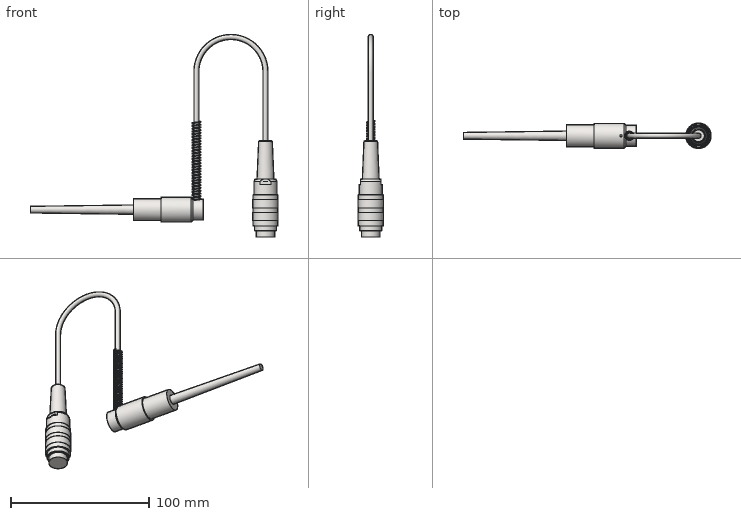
import cadquery as cq
import math


rod_length = 74.7
rod_tip_dia = 5.0
rod_root_dia = 7.0

cuff_dia = 16.0
cuff_length = 20.1
barrel_dia = 18.1
barrel_length = 23.2
barrel_chamfer = 1.5
cap_dia = barrel_dia - 2 * barrel_chamfer
cap_length = 7.4
barrel_start = rod_length + cuff_length
cap_start = barrel_start + barrel_length

vent_dia = 1.5
vent_x = 114.2
vent_depth = 1.8

cord_dia = 3.8
cord_x = 120.3
arc_start_z = 100.0

wire_dia = 0.8
spring_outer_dia = 6.5
spring_pitch = 2.0
spring_turns = 29.25
spring_start_z = 5.7
seat_dia = 6.6
seat_z = spring_start_z - wire_dia / 2

plug_dia = 18.5
overall_length = 179.5
plug_x = overall_length - plug_dia / 2
plug_bottom_z = -20.0
nose_dia = 13.5
collar_z = -15.5
collar_dia = 16.0
collar_chamfer = 0.4
body_z = -11.7
body_top_z = 11.0
body_dia = 18.1
body_edge_chamfer = 0.4

ring_height = 6.0
ring_starts = (-7.9, 1.3)

nut_top_z = 22.0
nut_dia = 16.9
nut_top_dia = 15.3
nut_chamfer_height = 1.8
flat_width = 14.9
flat_height = 4.0
nut_bore_dia = 13.8
nut_bore_depth = 1.8

boot_bottom_z = nut_top_z - nut_bore_depth
boot_bottom_dia = 12.5
boot_top_dia = 10.0
boot_top_z = 50.1
boot_chamfer = 0.8


def cylinder_x(diameter, start, length):
    return cq.Workplane("YZ", origin=(start, 0, 0)).circle(diameter / 2).extrude(length)


def cylinder_z(diameter, x, start, length):
    return cq.Workplane("XY", origin=(x, 0, start)).circle(diameter / 2).extrude(length)


def make_rod():
    return (
        cq.Workplane("YZ")
        .circle(rod_tip_dia / 2)
        .workplane(offset=rod_length)
        .circle(rod_root_dia / 2)
        .loft()
    )


def make_housing():
    cuff = cylinder_x(cuff_dia, rod_length, cuff_length)
    barrel = cylinder_x(barrel_dia, barrel_start, barrel_length).faces(">X").chamfer(barrel_chamfer)
    cap = cylinder_x(cap_dia, cap_start, cap_length)
    spring_seat = cylinder_z(seat_dia, cord_x, seat_z, barrel_dia)
    vent = cylinder_z(vent_dia, vent_x, barrel_dia / 2 - vent_depth, barrel_dia)
    return cuff.union(barrel).union(cap).cut(spring_seat).cut(vent)


def make_cord():
    arc_radius = (plug_x - cord_x) / 2
    path = (
        cq.Workplane("XZ")
        .moveTo(cord_x, seat_z)
        .lineTo(cord_x, arc_start_z)
        .threePointArc((cord_x + arc_radius, arc_start_z + arc_radius), (plug_x, arc_start_z))
        .lineTo(plug_x, boot_top_z)
    )
    return cq.Workplane("XY", origin=(cord_x, 0, seat_z)).circle(cord_dia / 2).sweep(path)


def make_spring():
    coil_radius = (spring_outer_dia - wire_dia) / 2
    helix = cq.Wire.makeHelix(spring_pitch, spring_pitch * spring_turns, coil_radius)
    rise_per_radian = spring_pitch / (2 * math.pi)
    wire_end = cq.Plane(
        origin=(coil_radius, 0, 0), xDir=(1, 0, 0), normal=(0, coil_radius, rise_per_radian)
    )
    coil = cq.Workplane(wire_end).circle(wire_dia / 2).sweep(cq.Workplane(helix), isFrenet=True)
    return coil.translate((cord_x, 0, spring_start_z))


def make_nut():
    nut_height = nut_top_z - body_top_z
    nut = (
        cylinder_z(nut_dia, plug_x, body_top_z, nut_height)
        .faces(">Z")
        .chamfer(nut_chamfer_height, (nut_dia - nut_top_dia) / 2)
    )
    flat_cut = cq.Workplane("XY").box(nut_dia, nut_dia, flat_height)
    for side in (-1, 1):
        offset = side * (flat_width + nut_dia) / 2
        nut = nut.cut(flat_cut.translate((plug_x, offset, nut_top_z - flat_height / 2)))
    return nut.cut(cylinder_z(nut_bore_dia, plug_x, boot_bottom_z, nut_bore_depth))


def make_plug():
    nose = cylinder_z(nose_dia, plug_x, plug_bottom_z, collar_z - plug_bottom_z)
    collar = cylinder_z(collar_dia, plug_x, collar_z, body_z - collar_z)
    collar = collar.faces("<Z").chamfer(collar_chamfer)
    body = cylinder_z(body_dia, plug_x, body_z, body_top_z - body_z)
    body = body.faces(">Z").chamfer(body_edge_chamfer)
    plug = nose.union(collar).union(body).union(make_nut())
    for ring_z in ring_starts:
        plug = plug.union(cylinder_z(plug_dia, plug_x, ring_z, ring_height))
    return plug


def make_boot():
    return (
        cq.Workplane("XY", origin=(plug_x, 0, boot_bottom_z))
        .circle(boot_bottom_dia / 2)
        .workplane(offset=boot_top_z - boot_bottom_z)
        .circle(boot_top_dia / 2)
        .loft()
        .faces(">Z")
        .edges()
        .chamfer(boot_chamfer)
    )


rod = make_rod()
housing = make_housing()
cord = make_cord()
spring = make_spring()
plug = make_plug()
boot = make_boot()

result = cq.Compound.makeCompound(
    [rod.val(), housing.val(), cord.val(), spring.val(), plug.val(), boot.val()]
)